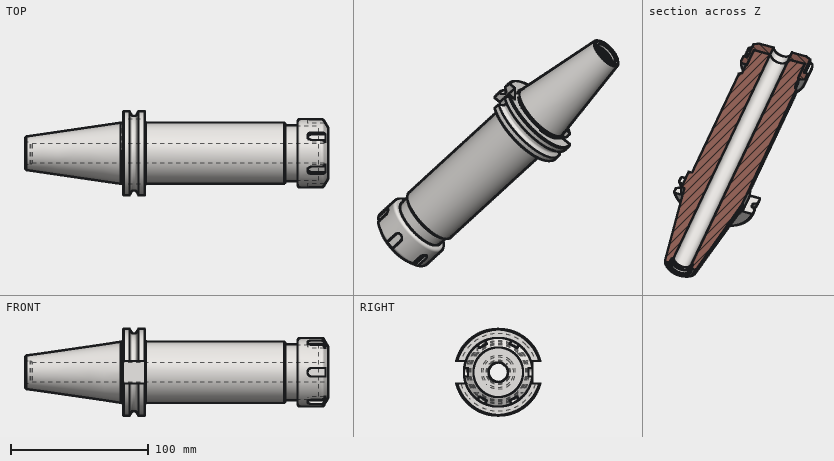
import cadquery as cq
import math

overall_length = 220.7

taper_length = 69.3
taper_end_diameter = 44.5
taper_per_length = 7 / 24
taper_start_diameter = taper_end_diameter - taper_length * taper_per_length
taper_chamfer = 1.0

body_diameter = 44.8
root_fillet = 0.7
tube_end_x = 189.3
tube_chamfer = 1.0

flange_diameter = 63.3
flange_start_x = 71.3
flange_end_x = 87.4
flange_chamfer = 0.7
groove_center_x = 79.2
groove_mouth_width = 6.6
groove_floor_diameter = 56.7
groove_wall_angle = 30.0
groove_fillet = 1.3

drive_slot_width = 16.0
front_slot_floor = 22.5
back_slot_floor = 25.0

neck_diameter = 41.0
spigot_diameter = 40.0
spigot_length = 15.5

bore_diameter = 14.0
mouth_diameter = 16.5
mouth_depth = 3.5
mouth_chamfer = 0.7
pilot_diameter = 16.3
pilot_depth = 4.5
pilot_floor_chamfer = 1.0

nut_diameter = 50.0
nut_length = 22.5
nut_start_x = overall_length - nut_length
nut_back_fillet = 2.2
nut_face_diameter = 36.2
nut_face_chamfer_length = 0.5
nut_cone_end_diameter = 38.5
nut_cone_half_angle = 60.0
nut_cone_fillet = 2.2

spanner_slot_count = 6
spanner_slot_width = 6.2
spanner_slot_start_x = 205.5
spanner_slot_floor = 22.0


def cylinder_x(diameter, start_x, end_x):
    """Solid cylinder about the X axis."""
    return cq.Workplane("YZ", origin=(start_x, 0, 0)).circle(diameter / 2).extrude(end_x - start_x)


def revolve_x(profile):
    """Turn a closed outline in (x, radius) about the X axis."""
    return profile.revolve(360, (0, 0, 0), (1, 0, 0))


def make_taper():
    start_radius = taper_start_diameter / 2
    chamfer_end_radius = start_radius + taper_chamfer * taper_per_length / 2
    profile = (
        cq.Workplane("XY")
        .lineTo(0, start_radius - taper_chamfer)
        .lineTo(taper_chamfer, chamfer_end_radius)
        .lineTo(taper_length, taper_end_diameter / 2)
        .lineTo(taper_length, 0)
        .close()
    )
    return revolve_x(profile)


def make_tube():
    return cylinder_x(body_diameter, taper_length, tube_end_x).faces(">X").chamfer(tube_chamfer)


def make_flange():
    return cylinder_x(flange_diameter, flange_start_x, flange_end_x).edges().chamfer(flange_chamfer)


def make_root_fillet(cylinder_diameter, face_x, direction):
    """Concave fillet ring between a flat face and the cylinder that leaves it towards +X or -X."""
    radius = cylinder_diameter / 2
    mid_offset = root_fillet * (1 - math.sqrt(0.5))
    arc_mid = (face_x + direction * mid_offset, radius + mid_offset)
    profile = (
        cq.Workplane("XY")
        .moveTo(face_x, radius)
        .lineTo(face_x + direction * root_fillet, radius)
        .threePointArc(arc_mid, (face_x, radius + root_fillet))
        .close()
    )
    return revolve_x(profile)


def make_gripper_groove():
    """Ring with flared walls and rounded floor corners, to be cut from the flange rim."""
    rim_radius = flange_diameter / 2
    floor_radius = groove_floor_diameter / 2
    mouth_half = groove_mouth_width / 2
    floor_half = mouth_half - (rim_radius - floor_radius) * math.tan(math.radians(groove_wall_angle))
    profile = (
        cq.Workplane("XY")
        .moveTo(groove_center_x - mouth_half, rim_radius)
        .lineTo(groove_center_x - floor_half, floor_radius)
        .lineTo(groove_center_x + floor_half, floor_radius)
        .lineTo(groove_center_x + mouth_half, rim_radius)
        .close()
    )
    ring = revolve_x(profile)
    floor_edges = cq.selectors.RadiusNthSelector(0)
    return ring.edges(floor_edges).fillet(groove_fillet)


def make_drive_slot(floor_distance, side):
    """Block that cuts one drive slot; side is -1 for -Y and +1 for +Y."""
    slot_depth = flange_diameter / 2 - floor_distance
    center = ((flange_start_x + flange_end_x) / 2, side * (floor_distance + slot_depth / 2), 0)
    return cq.Workplane("XY").box(flange_end_x - flange_start_x, slot_depth, drive_slot_width).translate(center)


def make_pilot_bore():
    """Stepped counterbore with a chamfered mouth and a conical floor."""
    mouth_radius = mouth_diameter / 2
    pilot_radius = pilot_diameter / 2
    cone_end_x = pilot_depth + pilot_floor_chamfer
    profile = (
        cq.Workplane("XY")
        .lineTo(0, mouth_radius + mouth_chamfer)
        .lineTo(mouth_chamfer, mouth_radius)
        .lineTo(mouth_depth, mouth_radius)
        .lineTo(mouth_depth, pilot_radius)
        .lineTo(pilot_depth, pilot_radius)
        .lineTo(cone_end_x, bore_diameter / 2)
        .lineTo(cone_end_x, 0)
        .close()
    )
    return revolve_x(profile)


def make_holder():
    holder = make_taper().union(make_tube()).union(make_flange())
    holder = holder.union(make_root_fillet(body_diameter, flange_start_x, -1))
    holder = holder.union(make_root_fillet(body_diameter, flange_end_x, 1))
    holder = holder.union(cylinder_x(neck_diameter, tube_end_x, nut_start_x))
    holder = holder.union(make_root_fillet(neck_diameter, tube_end_x, 1))
    holder = holder.union(cylinder_x(spigot_diameter, nut_start_x, nut_start_x + spigot_length))
    holder = holder.cut(make_gripper_groove())
    holder = holder.cut(make_drive_slot(front_slot_floor, -1))
    holder = holder.cut(make_drive_slot(back_slot_floor, 1))
    holder = holder.cut(cylinder_x(bore_diameter, 0, overall_length))
    return holder.cut(make_pilot_bore())


def make_spanner_slot(angle):
    """Slot with one round end, open towards the nut face, turned about X by angle."""
    half_width = spanner_slot_width / 2
    round_center_x = spanner_slot_start_x + half_width
    slot = (
        cq.Workplane("XZ", origin=(0, -spanner_slot_floor, 0))
        .moveTo(overall_length, -half_width)
        .lineTo(round_center_x, -half_width)
        .threePointArc((spanner_slot_start_x, 0), (round_center_x, half_width))
        .lineTo(overall_length, half_width)
        .close()
        .extrude(nut_diameter / 2 - spanner_slot_floor)
    )
    return slot.rotate((0, 0, 0), (1, 0, 0), angle)


def make_nut():
    nut_radius = nut_diameter / 2
    cone_end_x = overall_length - nut_face_chamfer_length
    cone_end_radius = nut_cone_end_diameter / 2
    cone_length = (nut_radius - cone_end_radius) / math.tan(math.radians(nut_cone_half_angle))
    cone_start_x = cone_end_x - cone_length
    profile = (
        cq.Workplane("XY")
        .moveTo(nut_start_x, 0)
        .lineTo(nut_start_x, nut_radius)
        .lineTo(cone_start_x, nut_radius)
        .lineTo(cone_end_x, cone_end_radius)
        .lineTo(overall_length, nut_face_diameter / 2)
        .lineTo(overall_length, 0)
        .close()
    )
    nut = revolve_x(profile)
    nut = nut.edges(cq.selectors.NearestToPointSelector((cone_start_x, 0, 0))).fillet(nut_cone_fillet)
    nut = nut.faces("<X").edges().fillet(nut_back_fillet)
    nut = nut.cut(cylinder_x(spigot_diameter, nut_start_x, nut_start_x + spigot_length))
    nut = nut.cut(cylinder_x(bore_diameter, nut_start_x, overall_length))
    for index in range(spanner_slot_count):
        nut = nut.cut(make_spanner_slot(index * 360 / spanner_slot_count))
    return nut


holder = make_holder()
nut = make_nut()

result = cq.Compound.makeCompound([holder.val(), nut.val()])